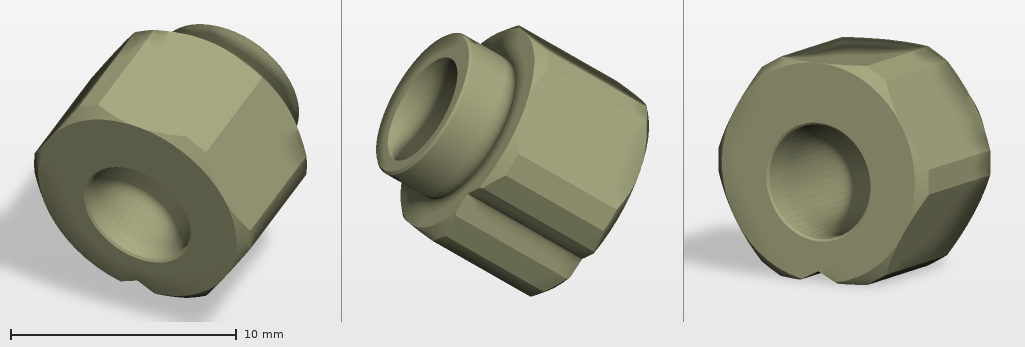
import cadquery as cq
import math

half_corner_angle = 30
across_flats = 9.9
across_cut_corners = 10.78
body_length = 6.36
corner_radius = across_flats / 2 / math.cos(math.radians(half_corner_angle))

total_length = 8.85
boss_diameter = 7.08
boss_chamfer = 0.11

bore_diameter = 5.15
bore_drop = 0.43
bore_chamfer = 0.1

notch_width = 1.99
notch_depth = 0.5


def make_body():
    """Hexagon with flattened corners and 45 degree conical chamfers at both ends."""
    hexagon = cq.Workplane("XZ").polygon(6, 2 * corner_radius).extrude(-body_length)
    cutter_diameter = across_cut_corners / math.cos(math.radians(half_corner_angle))
    corner_cutter = (
        cq.Workplane("XZ")
        .polygon(6, cutter_diameter)
        .extrude(-body_length)
        .rotate((0, 0, 0), (0, 1, 0), half_corner_angle)
    )
    face_radius = across_flats / 2
    cone_length = corner_radius - face_radius
    envelope = (
        cq.Workplane("XY")
        .lineTo(face_radius, 0)
        .lineTo(corner_radius, cone_length)
        .lineTo(corner_radius, body_length - cone_length)
        .lineTo(face_radius, body_length)
        .lineTo(0, body_length)
        .close()
        .revolve(360, (0, 0, 0), (0, 1, 0))
    )
    return hexagon.intersect(corner_cutter).intersect(envelope)


def make_boss():
    """Cylinder on the body axis with a chamfered rear rim."""
    boss = cq.Workplane("XZ").circle(boss_diameter / 2).extrude(-total_length)
    return boss.faces(">Y").chamfer(boss_chamfer)


def make_bore():
    """Eccentric through bore with a chamfered front mouth."""
    bore_radius = bore_diameter / 2
    return (
        cq.Workplane("XY")
        .lineTo(bore_radius + bore_chamfer, 0)
        .lineTo(bore_radius, bore_chamfer)
        .lineTo(bore_radius, total_length)
        .lineTo(0, total_length)
        .close()
        .revolve(360, (0, 0, 0), (0, 1, 0))
        .translate((0, 0, -bore_drop))
    )


def make_notch():
    """V-groove running the full length of the body."""
    bottom = -across_flats / 2
    return (
        cq.Workplane("XZ")
        .moveTo(-notch_width / 2, bottom)
        .lineTo(0, bottom + notch_depth)
        .lineTo(notch_width / 2, bottom)
        .close()
        .extrude(-body_length)
    )


result = make_body().union(make_boss()).cut(make_bore()).cut(make_notch())